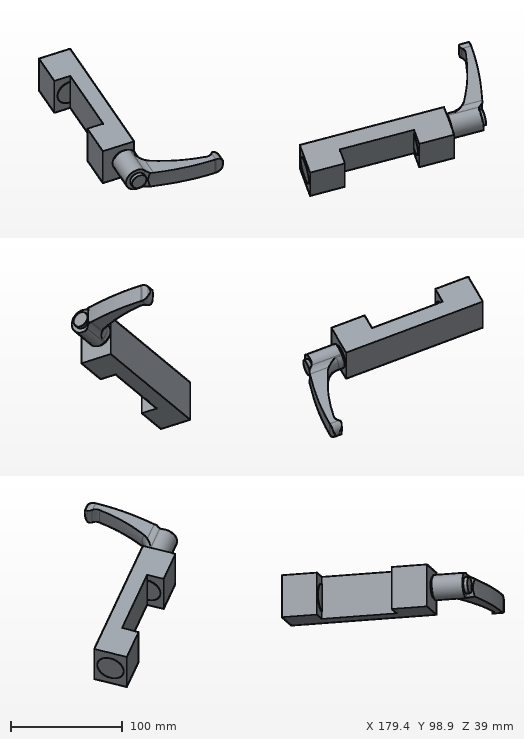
import cadquery as cq
import math

PAD_RELIEF = 0.2
BLOCK_LENGTH = 135.0
BLOCK_DEPTH = 30.9
BLOCK_HEIGHT = 39.0
BAR_DEPTH = 15.2
JAW_LENGTH = 32.7
JAW_GAP = 69.6
JAW_PAD_RELIEF = 0.4
PAD_DIAMETER = 25.0

BLOCK_START = PAD_RELIEF
BLOCK_END = BLOCK_START + BLOCK_LENGTH
GAP_START = BLOCK_START + JAW_LENGTH
GAP_END = GAP_START + JAW_GAP
PAD_CENTRE = (BLOCK_DEPTH / 2, BLOCK_HEIGHT / 2)

AXIS_Y = 20.1
AXIS_Z = BLOCK_HEIGHT / 2 + 2.9
COLLAR_DIAMETER = 18.5
COLLAR_LENGTH = 1.8
HUB_RADIUS = 11.5
HUB_LENGTH = 28.5
NECK_LENGTH = 6.0
NECK_RELIEF = 0.1
STUB_DIAMETER = 14.9
STUB_LENGTH = 3.5
STUB_CHAMFER = 0.9
STUB_CHAMFER_DEPTH = 0.2

ARM_THICKNESS = 16.3
ARM_REACH = 78.8
ARM_END = 179.4
FOOT_X = 169.7
FOOT_RADIUS = 8.3
BLEND_END = 12.7
UNDERCUT_RADIUS = 4.8
UNDERCUT_START = 2.3

HUB_START = BLOCK_END + COLLAR_LENGTH
HUB_END = HUB_START + HUB_LENGTH
ARM_HALF = ARM_THICKNESS / 2


def x_cylinder(diameter, start, length, y, z):
    """Cylinder along +X, starting at the given X."""
    plane = cq.Workplane("YZ", origin=(start, y, z))
    return plane.circle(diameter / 2).extrude(length)


def make_block():
    block = cq.Workplane("XY").box(BLOCK_LENGTH, BLOCK_DEPTH, BLOCK_HEIGHT, centered=False)
    block = block.translate((BLOCK_START, 0, 0))

    block = block.union(x_cylinder(PAD_DIAMETER, 0, PAD_RELIEF, *PAD_CENTRE))

    gap_depth = BLOCK_DEPTH - BAR_DEPTH
    gap = cq.Workplane("XY").box(JAW_GAP, gap_depth, BLOCK_HEIGHT, centered=False)
    gap = gap.translate((GAP_START, 0, 0))
    for start in (GAP_START, GAP_END - JAW_PAD_RELIEF):
        gap = gap.cut(x_cylinder(PAD_DIAMETER, start, JAW_PAD_RELIEF, *PAD_CENTRE))
    return block.cut(gap)


def arm_sweep():
    """Arm outline in X and distance from the axis, revolved about the hub axis."""
    neck_radius = HUB_RADIUS + NECK_RELIEF
    neck_start = (HUB_START + NECK_LENGTH, neck_radius)
    neck_end = (156.0, 18.7)
    inner_face_middle = (165.5, 39.1)
    hook_root = (172.4, 64.5)
    hook_middle = (172.2, 68.5)
    nose_start = (170.5, 71.0)
    nose_middle = (169.2, 73.0)
    nose_end = (169.4, 75.3)
    crown_middle = (171.1, 77.5)
    tip_start = (174.4, ARM_REACH)
    tip_end = (177.2, ARM_REACH)
    tip_corner_middle = (178.5, 78.2)
    tip_corner_end = (179.0, 76.8)
    outer_face_end = (ARM_END, 70.9)
    outer_face_middle = (176.5, 36.2)
    outer_face_foot = (FOOT_X, FOOT_RADIUS)
    outline = (
        cq.Workplane("XY")
        .moveTo(HUB_START, 0)
        .lineTo(HUB_START, neck_radius)
        .lineTo(*neck_start)
        .tangentArcPoint(neck_end, relative=False)
        .threePointArc(inner_face_middle, hook_root)
        .threePointArc(hook_middle, nose_start)
        .threePointArc(nose_middle, nose_end)
        .threePointArc(crown_middle, tip_start)
        .lineTo(*tip_end)
        .threePointArc(tip_corner_middle, tip_corner_end)
        .lineTo(*outer_face_end)
        .threePointArc(outer_face_middle, outer_face_foot)
        .lineTo(FOOT_X, 0)
        .close()
    )
    return outline.revolve(360, (0, 0, 0), (1, 0, 0))


def arm_section():
    """Cross-section across X: flat sides, a full-round tip and blends into the hub."""
    blend_radius = (BLEND_END**2 + ARM_HALF**2 - HUB_RADIUS**2) / (2 * (HUB_RADIUS - ARM_HALF))
    centre_distance = HUB_RADIUS + blend_radius
    tangent_y = BLEND_END * HUB_RADIUS / centre_distance
    tangent_z = (ARM_HALF + blend_radius) * HUB_RADIUS / centre_distance
    bisector = (math.atan2(ARM_HALF + blend_radius, BLEND_END) + math.pi / 2) / 2
    mid_y = BLEND_END - blend_radius * math.cos(bisector)
    mid_z = ARM_HALF + blend_radius - blend_radius * math.sin(bisector)
    tip_y = ARM_REACH - ARM_HALF
    return (
        cq.Workplane("YZ", origin=(HUB_START, 0, 0))
        .moveTo(0, -tangent_z)
        .lineTo(tangent_y, -tangent_z)
        .threePointArc((mid_y, -mid_z), (BLEND_END, -ARM_HALF))
        .lineTo(tip_y, -ARM_HALF)
        .threePointArc((ARM_REACH, 0), (tip_y, ARM_HALF))
        .lineTo(BLEND_END, ARM_HALF)
        .threePointArc((mid_y, mid_z), (tangent_y, tangent_z))
        .lineTo(0, tangent_z)
        .close()
        .extrude(ARM_END - HUB_START)
    )


def undercut():
    """Material removed beyond the hub end: concave corner, then a 45 degree slope."""
    sine_45 = math.sqrt(0.5)
    slope_x = HUB_END + UNDERCUT_RADIUS * (1 - sine_45)
    slope_y = UNDERCUT_START + UNDERCUT_RADIUS * sine_45
    run = ARM_END - slope_x
    return (
        cq.Workplane("XY")
        .moveTo(HUB_END, -HUB_RADIUS)
        .lineTo(HUB_END, UNDERCUT_START)
        .tangentArcPoint((slope_x, slope_y), relative=False)
        .lineTo(slope_x + run, slope_y + run)
        .lineTo(slope_x + run, -HUB_RADIUS)
        .close()
        .extrude(HUB_RADIUS, both=True)
    )


def make_lever():
    hub = x_cylinder(2 * HUB_RADIUS, HUB_START, FOOT_X - HUB_START, 0, 0)
    arm = arm_sweep().intersect(arm_section())
    lever = hub.union(arm).cut(undercut())
    collar = x_cylinder(COLLAR_DIAMETER, BLOCK_END, COLLAR_LENGTH, 0, 0)
    stub = x_cylinder(STUB_DIAMETER, HUB_END, STUB_LENGTH, 0, 0)
    stub = stub.faces(">X").chamfer(STUB_CHAMFER, STUB_CHAMFER_DEPTH)
    return lever.union(collar).union(stub).translate((0, AXIS_Y, AXIS_Z))


block = make_block()
lever = make_lever()
result = cq.Compound.makeCompound([block.val(), lever.val()])